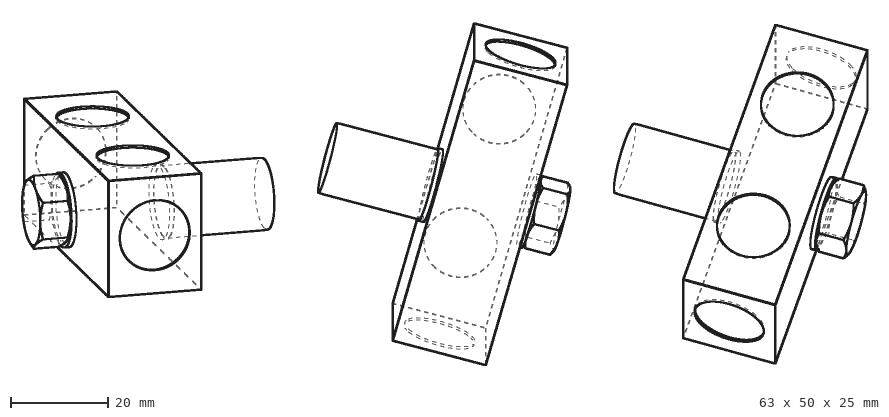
import cadquery as cq
import math

block_length = 63.0
block_depth = 20.0
block_height = 25.0
edge_chamfer = 0.1

port_diameter = 15.0
port_recess = 0.5
port_offset = 15.0

bolt_z = -2.5
flange_diameter = 15.5
flange_thickness = 1.0
post_diameter = 15.0
post_reach = 22.55
post_chamfer_length = 1.0
post_chamfer_radial = 0.05
head_reach = 7.5
head_across_corners = 15.7
head_chamfer_angle = 30.0

front_y = -block_depth / 2
back_y = block_depth / 2


def cylinder_along_y(diameter, y_start, y_end):
    """Cylinder on the bolt axis between two Y positions."""
    start = cq.Vector(0, y_start, bolt_z)
    return cq.Workplane(cq.Solid.makeCylinder(diameter / 2, y_end - y_start, start, cq.Vector(0, 1, 0)))


def make_block():
    block = cq.Workplane("XY").box(block_length, block_depth, block_height)
    block = block.edges().chamfer(edge_chamfer)
    block = (
        block.faces(">Z").workplane(origin=(0, 0, 0))
        .pushPoints([(-port_offset, 0), (port_offset, 0)])
        .circle(port_diameter / 2).cutBlind(-port_recess)
    )
    for end in ("<X", ">X"):
        block = (
            block.faces(end).workplane(origin=(0, 0, 0))
            .circle(port_diameter / 2).cutBlind(-port_recess)
        )
    return block


def make_post():
    """Round post behind the block, with a slight lead-in taper at its tip."""
    tip_y = back_y + post_reach
    post = cylinder_along_y(post_diameter, back_y, tip_y)
    tip = post.faces(">Y").edges()
    return tip.chamfer(post_chamfer_length, post_chamfer_radial)


def make_head():
    """Hexagonal head with corners up and down, turned conical at both ends."""
    thickness = head_reach - flange_thickness
    corner_radius = head_across_corners / 2
    flat_radius = corner_radius * math.cos(math.pi / 6)
    cone_height = (corner_radius - flat_radius) * math.tan(math.radians(head_chamfer_angle))
    hexagon = (
        cq.Workplane("XZ").polygon(6, head_across_corners)
        .extrude(thickness).rotate((0, 0, 0), (0, 1, 0), 30)
    )
    turned_profile = [
        (0, 0),
        (flat_radius, 0),
        (corner_radius, -cone_height),
        (corner_radius, cone_height - thickness),
        (flat_radius, -thickness),
        (0, -thickness),
    ]
    turned = cq.Workplane("XY").polyline(turned_profile).close().revolve(360, (0, 0, 0), (0, 1, 0))
    return hexagon.intersect(turned).translate((0, front_y - flange_thickness, bolt_z))


flanges = cylinder_along_y(
    flange_diameter, front_y - flange_thickness, front_y
).union(cylinder_along_y(flange_diameter, back_y, back_y + flange_thickness))

result = make_block().union(flanges).union(make_post()).union(make_head())